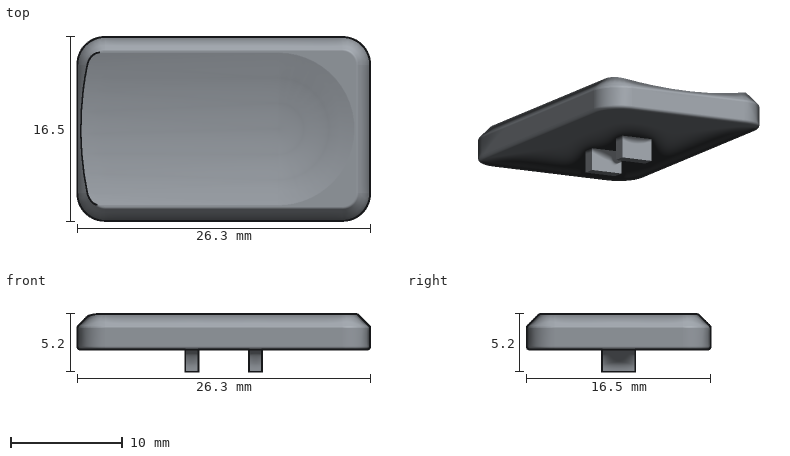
import cadquery as cq

cap_length = 26.25
cap_width = 16.5
cap_height = 3.2
corner_radius = 2.5
top_chamfer = 1.15
edge_round = 0.3

dish_half_width = 6.83
dish_depth = 0.83
dish_end_x = 4.875
rim_round = 0.2
dish_radius = (dish_half_width**2 + dish_depth**2) / (2 * dish_depth)
dish_axis_height = cap_height - dish_depth + dish_radius

leg_spacing = 5.7
leg_thickness = 1.2
leg_width = 3.0
leg_length = 2.0

pick_margin = 0.02


def cap_body():
    """Rounded block with a chamfered top, all its level edges softened."""
    block = cq.Workplane("XY").box(cap_length, cap_width, cap_height, centered=(True, True, False))
    block = block.edges("|Z").fillet(corner_radius)
    block = block.faces(">Z").edges().chamfer(top_chamfer)
    chamfer_foot = cap_height - top_chamfer
    foot_edges = cq.selectors.BoxSelector(
        (-cap_length, -cap_width, chamfer_foot - pick_margin),
        (cap_length, cap_width, chamfer_foot + pick_margin),
    )
    block = block.edges(foot_edges).fillet(edge_round)
    block = block.faces(">Z").edges().fillet(edge_round)
    return block.faces("<Z").edges().fillet(edge_round)


def dished_slab():
    """Oversized slab, level with the cap top, with the dish cut in and its rim rounded."""
    slab = cq.Workplane("XY").box(2 * cap_length, 2 * cap_width, cap_height, centered=(True, True, False))
    trough = cq.Workplane("YZ", origin=(dish_end_x, 0, dish_axis_height)).circle(dish_radius)
    slab = slab.cut(trough.extrude(-2 * cap_length))
    end_sphere = cq.Workplane("XY").sphere(dish_radius).translate((dish_end_x, 0, dish_axis_height))
    slab = slab.cut(end_sphere)
    return slab.faces(">Z").edges("%CIRCLE").fillet(rim_round)


def legs():
    """Two plain legs below the cap."""
    outlines = cq.Workplane("XY").pushPoints([(side * leg_spacing / 2, 0) for side in (-1, 1)])
    return outlines.rect(leg_thickness, leg_width).extrude(-leg_length)


result = cap_body().intersect(dished_slab()).union(legs())